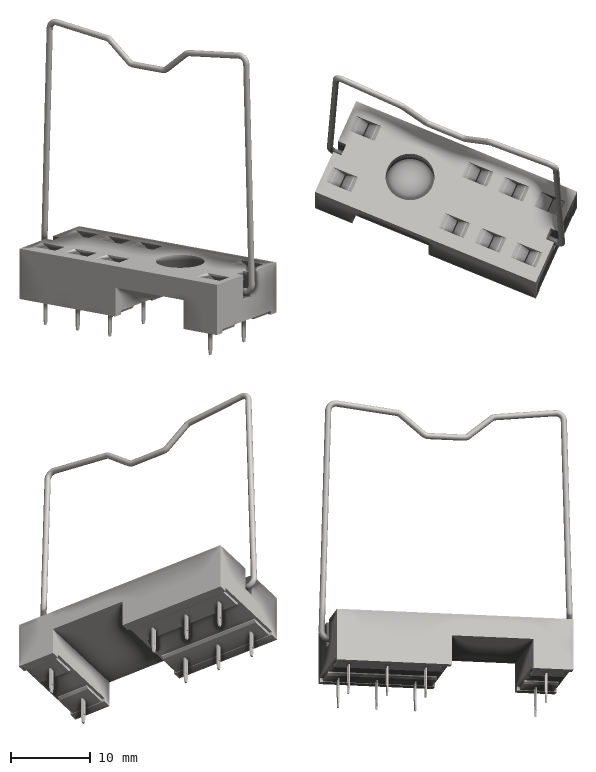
import cadquery as cq
import math

body_length = 30.1
body_width = 13.0
body_height = 6.53

notch_left = -0.42
notch_right = 9.95
notch_height = 3.75

recess_width = 10.62
recess_height = 0.5
pad_height = 0.42
pad_inner_y = 1.9
pad_chamfer = 0.27
pad_setback = 0.4

hole_diameter = 6.1
hole_x = 4.9
hole_depth = 2.1

slot_width = 1.55
slot_height = 3.2
slot_top_depth = 1.12
slot_throat_depth = 0.95
slot_throat_drop = 1.15
slot_undercut_depth = 1.55

outer_pocket_x = 12.55
pocket_pitch = 4.9
left_pocket_count = 3
row_y = 3.65
pocket_length = 3.4
pocket_width = 2.12
rim_run = 0.42
rim_drop = 0.3
funnel_length = 2.28
funnel_drop = 0.85
contact_gap = 0.15
contact_gap_depth = 1.15

pin_offset_x = -0.5
pin_thickness = 0.2
pin_width = 0.65
pin_length = 3.63
pin_tip_width = 0.35
pin_tip_length = 0.7
bead_width = 0.27
bead_rise = 0.08
bead_top_z = -0.15
bead_length = 2.15

wire_diameter = 0.77
wire_end = (-13.15, 4.2)
wire_foot = (-15.85, 4.2)
wire_shoulder = (-14.95, 34.72)
wire_ramp_top = (-6.0, 33.7)
wire_ramp_bottom = (-2.6, 30.95)
wire_bend_radius = 1.0

ROW_SIDES = (-1, 1)


def box(x_min, x_max, y_min, y_max, z_min, z_max):
    """Axis-aligned box between the given limits."""
    size = (x_max - x_min, y_max - y_min, z_max - z_min)
    return cq.Workplane("XY").box(*size, centered=False).translate((x_min, y_min, z_min))


def extrude_across(points, width):
    """XZ outline extruded symmetrically about Y = 0."""
    return cq.Workplane("XZ").polyline(points).close().extrude(width / 2, both=True)


def make_body():
    """Plain block with the notch, the bottom recess and the round hole removed."""
    half_length = body_length / 2
    half_width = body_width / 2
    half_recess = recess_width / 2
    body = box(-half_length, half_length, -half_width, half_width, 0, body_height)
    body = body.cut(box(-half_length, half_length, -half_recess, half_recess, 0, recess_height))
    body = body.cut(box(notch_left, notch_right, -half_width, half_width, 0, notch_height))
    hole = (
        cq.Workplane("XY", origin=(hole_x, 0, body_height - hole_depth))
        .circle(hole_diameter / 2)
        .extrude(hole_depth)
    )
    return body.cut(hole)


def make_pad(x_min, x_max, side):
    """Pad hanging in the recess, chamfered along its inner lower edge."""
    outer_y = recess_width / 2
    bottom_z = recess_height - pad_height
    outline = [
        (side * outer_y, recess_height),
        (side * outer_y, bottom_z),
        (side * (pad_inner_y + pad_chamfer), bottom_z),
        (side * pad_inner_y, bottom_z + pad_chamfer),
        (side * pad_inner_y, recess_height),
    ]
    pad = cq.Workplane("YZ").polyline(outline).close().extrude(x_max - x_min)
    return pad.translate((x_min, 0, 0))


def make_slot():
    """Cutter for the clip slot in the -X end: tapered throat above an undercut."""
    end_x = -body_length / 2
    throat_z = body_height - slot_throat_drop
    floor_z = body_height - slot_height
    outline = [
        (end_x, body_height),
        (end_x + slot_top_depth, body_height),
        (end_x + slot_throat_depth, throat_z),
        (end_x + slot_undercut_depth, throat_z),
        (end_x + slot_undercut_depth, floor_z),
        (end_x, floor_z),
    ]
    return extrude_across(outline, slot_width)


def make_pocket():
    """Cutter for one contact pocket, centred on X = Y = 0."""
    half_length = pocket_length / 2
    half_rim = half_length - rim_run
    rim_z = body_height - rim_drop
    rim = extrude_across(
        [(-half_length, body_height), (half_length, body_height), (half_rim, rim_z), (-half_rim, rim_z)],
        pocket_width,
    )
    half_funnel = funnel_length / 2
    half_gap = contact_gap / 2
    gap_top_z = rim_z - funnel_drop
    gap_bottom_z = gap_top_z - contact_gap_depth
    funnel = extrude_across(
        [
            (-half_funnel, rim_z),
            (half_funnel, rim_z),
            (half_gap, gap_top_z),
            (half_gap, gap_bottom_z),
            (-half_gap, gap_bottom_z),
            (-half_gap, gap_top_z),
        ],
        pocket_width,
    )
    return rim.union(funnel)


def make_pin():
    """Flat pin with a tapered tip and a stiffening bead on its -X face."""
    half_width = pin_width / 2
    half_tip = pin_tip_width / 2
    taper_z = -pin_length + pin_tip_length
    blade = (
        cq.Workplane("YZ")
        .polyline(
            [
                (-half_width, recess_height),
                (-half_width, taper_z),
                (-half_tip, -pin_length),
                (half_tip, -pin_length),
                (half_width, taper_z),
                (half_width, recess_height),
            ]
        )
        .close()
        .extrude(pin_thickness / 2, both=True)
    )
    bead_outer_x = -pin_thickness / 2 - bead_rise
    bead = box(bead_outer_x, 0, -bead_width / 2, bead_width / 2, bead_top_z - bead_length, bead_top_z)
    return blade.union(bead)


def add_rounded_corner(path, before, corner, after, radius):
    """Draw a line up to a corner and a tangent arc around it."""
    corner_point = cq.Vector(*corner)
    to_before = (cq.Vector(*before) - corner_point).normalized()
    to_after = (cq.Vector(*after) - corner_point).normalized()
    half_angle = to_before.getAngle(to_after) / 2
    tangent_length = radius / math.tan(half_angle)
    arc_start = corner_point + to_before * tangent_length
    arc_end = corner_point + to_after * tangent_length
    path = path.lineTo(arc_start.x, arc_start.y)
    return path.tangentArcPoint((arc_end.x, arc_end.y), relative=False)


def make_clip():
    """Symmetrical bent wire clip, swept from end to end."""
    left_corners = [wire_end, wire_foot, wire_shoulder, wire_ramp_top, wire_ramp_bottom]
    right_corners = [(-x, z) for x, z in reversed(left_corners)]
    corners = left_corners + right_corners
    path = cq.Workplane("XZ").moveTo(*wire_end)
    for before, corner, after in zip(corners, corners[1:], corners[2:]):
        path = add_rounded_corner(path, before, corner, after, wire_bend_radius)
    path = path.lineTo(*corners[-1])
    end_x, end_z = wire_end
    return cq.Workplane("YZ", origin=(end_x, 0, end_z)).circle(wire_diameter / 2).sweep(path)


result = make_body()

slot = make_slot()
result = result.cut(slot).cut(slot.mirror("YZ"))

pad_spans = (
    (-body_length / 2 + pad_setback, notch_left - pad_setback),
    (notch_right + pad_setback, body_length / 2 - pad_setback),
)
for side in ROW_SIDES:
    for x_min, x_max in pad_spans:
        result = result.union(make_pad(x_min, x_max, side))

pocket = make_pocket()
pin = make_pin()
pocket_centers_x = [-outer_pocket_x + i * pocket_pitch for i in range(left_pocket_count)]
pocket_centers_x.append(outer_pocket_x)
for side in ROW_SIDES:
    for center_x in pocket_centers_x:
        result = result.cut(pocket.translate((center_x, side * row_y, 0)))
        result = result.union(pin.translate((center_x + pin_offset_x, side * row_y, 0)))

result = result.union(make_clip())